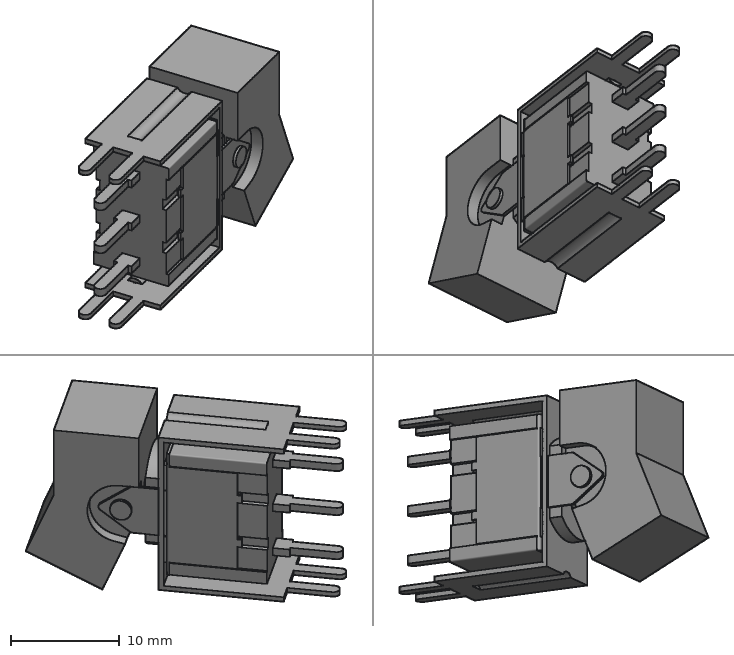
import cadquery as cq
import math


SIDES = (-1, 1)

OVERALL_LENGTH = 28.9
SWITCH_WIDTH = 7.92
SHEET = 0.275
TERMINAL_TIP_Y = -16.6
SHOULDER_Y = -11.77

BRACKET_HEIGHT = 16.3
BRACKET_SHEET = 0.5
LEG_TAIL_WIDTH = 1.2
LEG_TAIL_PITCH = 3.2
BEAD_WIDTH = 1.5
BEAD_DEPTH = 0.4
BEAD_LENGTH = 9.45

BUSHING_RADIUS = 2.57
BUSHING_END_Y = 2.75
NUT_RADIUS = 4.85
NUT_THICKNESS = 1.3

FRAME_WIDTH = 7.7
FRAME_HEIGHT = 10.35
EAR_INNER_X = 3.45
EAR_OUTER_X = EAR_INNER_X + SHEET
EAR_HALF_HEIGHT = 2.45
EAR_STRAIGHT_Y = 2.57
EAR_POINT_Y = 5.93
EAR_NOSE_RADIUS = 0.38

YOKE_TOP_Y = -BRACKET_SHEET - SHEET
YOKE_HEIGHT = 12.95
YOKE_BEND_RADIUS = 0.25
YOKE_SIDE_HEIGHT = 10.2
YOKE_SIDE_END_Y = -7.4
FINGER_WIDTH = 0.8
FINGER_LENGTH = 0.43

BASE_TOP_Y = YOKE_TOP_Y - SHEET
BASE_END_Y = -10.18
BASE_EDGE_RADIUS = 0.15
SIDE_RECESS_HEIGHT = FRAME_HEIGHT
FINGER_GROOVE_WIDTH = 1.15
FINGER_GROOVE_FLOOR_WIDTH = 1.05
FINGER_GROOVE_DEPTH = 0.38
TERMINAL_PITCH = 4.7
TERMINAL_THICKNESS = 0.78
TERMINAL_WIDTH = 1.85
TERMINAL_TAIL_WIDTH = 1.15
FINGER_Z = TERMINAL_PITCH / 2

ROCKER_WIDTH = 9.28
ROCKER_HALF_HEIGHT = 8.27
ROCKER_BACK_Y = 1.7
ROCKER_FACE_Y = 9.68
ROCKER_BEND_Z = 1.33
ROCKER_TIP_Y = OVERALL_LENGTH + TERMINAL_TIP_Y
ROCKER_TIP_Z = -4.95
ROCKER_HEEL_Y = 5.12
ROCKER_TILT = math.atan((ROCKER_TIP_Y - ROCKER_FACE_Y) / (ROCKER_BEND_Z - ROCKER_TIP_Z))
PIVOT_Y = 3.53
PIVOT_RADIUS = 1.0
PIVOT_END_X = 4.02
EAR_POCKET_RADIUS = 3.0


def block(x_range, y_range, z_range):
    """Axis-aligned box between the given limits."""
    (x0, x1), (y0, y1), (z0, z1) = x_range, y_range, z_range
    return cq.Workplane("XY").box(x1 - x0, y1 - y0, z1 - z0, centered=False).translate((x0, y0, z0))


def centered_block(width, y_range, height, z=0):
    """Box centred on X = 0 and on the given Z."""
    return block((-width / 2, width / 2), y_range, (z - height / 2, z + height / 2))


def side_block(side, x_inner, x_outer, y_range, height, z=0):
    """Box on one X side, centred on the given Z."""
    x_range = sorted((side * x_inner, side * x_outer))
    return block(x_range, y_range, (z - height / 2, z + height / 2))


def y_cylinder(radius, y0, y1):
    """Cylinder on the switch axis from y0 to y1."""
    return cq.Workplane("XZ", origin=(0, y0, 0)).circle(radius).extrude(y0 - y1)


def pivot_cylinder(side):
    """Pivot boss from the ear pocket floor to beyond the ear."""
    start = cq.Workplane("YZ", origin=(side * EAR_INNER_X, 0, 0)).center(PIVOT_Y, 0)
    return start.circle(PIVOT_RADIUS).extrude(side * (PIVOT_END_X - EAR_INNER_X))


def tail(x, z, width, thickness):
    """Flat solder tail with a fully rounded tip."""
    half = width / 2
    round_start = TERMINAL_TIP_Y + half
    outline = (
        cq.Workplane("XY", origin=(x, 0, z))
        .moveTo(-half, SHOULDER_Y)
        .lineTo(-half, round_start)
        .threePointArc((0, TERMINAL_TIP_Y), (half, round_start))
        .lineTo(half, SHOULDER_Y)
        .close()
    )
    return outline.extrude(thickness / 2, both=True)


def bead_segment(side, surface_z):
    """Shallow circular segment sunk from a leg surface toward the switch axis."""
    half = BEAD_WIDTH / 2
    outline = (
        cq.Workplane("XZ")
        .moveTo(-half, side * surface_z)
        .threePointArc((0, side * (surface_z - BEAD_DEPTH)), (half, side * surface_z))
        .close()
    )
    return outline.extrude(BEAD_LENGTH)


def make_bracket():
    """U-shaped bracket with beaded legs, solder tails, and openings for the bushing and ears."""
    outer_z = BRACKET_HEIGHT / 2
    inner_z = outer_z - BRACKET_SHEET
    leg_z = (outer_z + inner_z) / 2
    bracket = centered_block(SWITCH_WIDTH, (-BRACKET_SHEET, 0), BRACKET_HEIGHT)
    for side in SIDES:
        leg = centered_block(SWITCH_WIDTH, (SHOULDER_Y, 0), BRACKET_SHEET, side * leg_z)
        bracket = bracket.union(leg)
        for tail_side in SIDES:
            x = tail_side * LEG_TAIL_PITCH / 2
            bracket = bracket.union(tail(x, side * leg_z, LEG_TAIL_WIDTH, BRACKET_SHEET))
        bracket = bracket.union(bead_segment(side, inner_z)).cut(bead_segment(side, outer_z))
        ear_slot = side_block(side, EAR_INNER_X, EAR_OUTER_X, (-BRACKET_SHEET, 0), 2 * EAR_HALF_HEIGHT)
        bracket = bracket.cut(ear_slot)
    return bracket.cut(y_cylinder(BUSHING_RADIUS, -BRACKET_SHEET, 0))


def make_ear(side):
    """Pointed ear with a rounded nose, standing up from the frame web."""
    outline = [
        (YOKE_TOP_Y, -EAR_HALF_HEIGHT),
        (EAR_STRAIGHT_Y, -EAR_HALF_HEIGHT),
        (EAR_POINT_Y, 0),
        (EAR_STRAIGHT_Y, EAR_HALF_HEIGHT),
        (YOKE_TOP_Y, EAR_HALF_HEIGHT),
    ]
    start = cq.Workplane("YZ", origin=(side * EAR_INNER_X, 0, 0))
    ear = start.polyline(outline).close().extrude(side * SHEET)
    ear = ear.edges("|X").edges(">Y").fillet(EAR_NOSE_RADIUS)
    return ear.cut(pivot_cylinder(side))


def make_ear_frame():
    """Flat web under the bracket, notched beside the two ears that carry the rocker."""
    web_y = (YOKE_TOP_Y, -BRACKET_SHEET)
    frame = centered_block(FRAME_WIDTH, web_y, FRAME_HEIGHT)
    for side in SIDES:
        notch = side_block(side, EAR_OUTER_X, FRAME_WIDTH / 2, web_y, 2 * EAR_HALF_HEIGHT)
        frame = frame.cut(notch).union(make_ear(side))
    return frame.cut(y_cylinder(BUSHING_RADIUS, *web_y))


def make_nut():
    """Round nut with two flats that fit between the ears."""
    nut = y_cylinder(NUT_RADIUS, 0, NUT_THICKNESS)
    flats = centered_block(2 * EAR_INNER_X, (0, NUT_THICKNESS), 2 * NUT_RADIUS)
    return nut.intersect(flats).cut(y_cylinder(BUSHING_RADIUS, 0, NUT_THICKNESS))


def make_yoke():
    """Sheet cover with bent sides, retaining fingers and the bushing."""
    outer_x = SWITCH_WIDTH / 2
    yoke = centered_block(SWITCH_WIDTH, (BASE_TOP_Y, YOKE_TOP_Y), YOKE_HEIGHT)
    yoke = yoke.edges("|Z").edges(">Y").fillet(YOKE_BEND_RADIUS)
    for side in SIDES:
        side_y = (YOKE_SIDE_END_Y, BASE_TOP_Y)
        yoke = yoke.union(side_block(side, outer_x - SHEET, outer_x, side_y, YOKE_SIDE_HEIGHT))
        for z in (-FINGER_Z, FINGER_Z):
            finger_y = (YOKE_SIDE_END_Y - FINGER_LENGTH, YOKE_SIDE_END_Y)
            yoke = yoke.union(side_block(side, outer_x - SHEET, outer_x, finger_y, FINGER_WIDTH, z))
    return yoke.union(y_cylinder(BUSHING_RADIUS, YOKE_TOP_Y, BUSHING_END_Y))


def make_finger_groove(side, mouth_x, z):
    """Tapered groove from the end of the base up to the end of the yoke side."""
    mouth_half = FINGER_GROOVE_WIDTH / 2
    floor_half = FINGER_GROOVE_FLOOR_WIDTH / 2
    floor_x = mouth_x - FINGER_GROOVE_DEPTH
    outline = [
        (side * mouth_x, z - mouth_half),
        (side * floor_x, z - floor_half),
        (side * floor_x, z + floor_half),
        (side * mouth_x, z + mouth_half),
    ]
    start = cq.Workplane("XZ", origin=(0, YOKE_SIDE_END_Y, 0)).polyline(outline).close()
    return start.extrude(YOKE_SIDE_END_Y - BASE_END_Y)


def make_base():
    """Base block with side recesses for the yoke, finger grooves and three terminals."""
    outer_x = SWITCH_WIDTH / 2
    floor_x = outer_x - SHEET
    base_y = (BASE_END_Y, BASE_TOP_Y)
    base = centered_block(SWITCH_WIDTH, base_y, YOKE_HEIGHT).edges("|Y").fillet(BASE_EDGE_RADIUS)
    for side in SIDES:
        base = base.cut(side_block(side, floor_x, outer_x, base_y, SIDE_RECESS_HEIGHT))
        for z in (-FINGER_Z, FINGER_Z):
            base = base.cut(make_finger_groove(side, floor_x, z))
    for z in (-TERMINAL_PITCH, 0, TERMINAL_PITCH):
        shank = centered_block(TERMINAL_WIDTH, (SHOULDER_Y, BASE_END_Y), TERMINAL_THICKNESS, z)
        base = base.union(shank)
        base = base.union(tail(0, z, TERMINAL_TAIL_WIDTH, TERMINAL_THICKNESS))
    return base


def make_ear_pocket(side):
    """Pocket around the ear: an arc about the pivot, opening toward the switch with straight edges."""
    radius = EAR_POCKET_RADIUS
    flare = ROCKER_TILT / 2
    lower_y = PIVOT_Y + radius * math.sin(flare)
    lower_z = -radius * math.cos(flare)
    outline = (
        cq.Workplane("YZ", origin=(side * EAR_INNER_X, 0, 0))
        .moveTo(0, radius)
        .lineTo(PIVOT_Y, radius)
        .threePointArc((PIVOT_Y + radius, 0), (lower_y, lower_z))
        .lineTo(0, lower_z - lower_y * math.tan(flare))
        .close()
    )
    return outline.extrude(side * (ROCKER_WIDTH / 2 - EAR_INNER_X))


def make_rocker():
    """Bent rocker with ear pockets, pivot bosses and a socket for the bushing."""
    heel_rise = (ROCKER_HEEL_Y - ROCKER_BACK_Y) / math.tan(ROCKER_TILT)
    outline = [
        (ROCKER_BACK_Y, ROCKER_HALF_HEIGHT),
        (ROCKER_FACE_Y, ROCKER_HALF_HEIGHT),
        (ROCKER_FACE_Y, ROCKER_BEND_Z),
        (ROCKER_TIP_Y, ROCKER_TIP_Z),
        (ROCKER_HEEL_Y, -ROCKER_HALF_HEIGHT),
        (ROCKER_BACK_Y, heel_rise - ROCKER_HALF_HEIGHT),
    ]
    rocker = cq.Workplane("YZ").polyline(outline).close().extrude(ROCKER_WIDTH / 2, both=True)
    for side in SIDES:
        rocker = rocker.cut(make_ear_pocket(side)).union(pivot_cylinder(side))
    return rocker.cut(y_cylinder(BUSHING_RADIUS, 0, BUSHING_END_Y))


rocker = make_rocker()
bracket = make_bracket()
ear_frame = make_ear_frame()
nut = make_nut()
yoke = make_yoke()
base = make_base()

bodies = [rocker, bracket, ear_frame, nut, yoke, base]
result = cq.Compound.makeCompound([body.solids().val() for body in bodies])